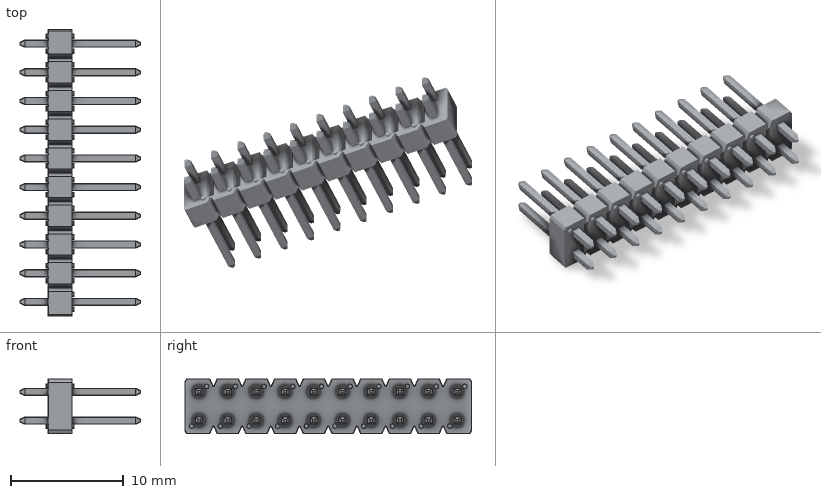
import cadquery as cq

ROWS = 10
PITCH = 2.55

BODY_LENGTH = ROWS * PITCH
BODY_HEIGHT = 4.83
BODY_THICKNESS = 2.13
NOTCH_WIDTH = 0.65
NOTCH_DEPTH = 0.65
NOTCH_FLOOR_WIDTH = 0.05
END_CHAMFER_Y = 0.15
END_CHAMFER_Z = 0.3

GROOVE_WIDTH = 0.7
GROOVE_HEIGHT = 3.3
GROOVE_FLOOR_WIDTH = 0.13
GROOVE_DEPTH = 0.45

PIN_LENGTH = 10.67
PIN_WIDTH = 0.64
PIN_END_WIDTH = 0.23
PIN_TIP_LENGTH = 0.43
PIN_TAIL = 2.5

STANDOFF_DIAMETER = 0.4
STANDOFF_HEIGHT = 0.18
STANDOFF_OFFSET_Y = 0.65
STANDOFF_OFFSET_Z = 1.75

BACK_X = -BODY_THICKNESS / 2
FRONT_X = BODY_THICKNESS / 2
ROW_CENTERS = [(i - (ROWS - 1) / 2) * PITCH for i in range(ROWS)]
ROW_BORDERS = [y + PITCH / 2 for y in ROW_CENTERS[:-1]]


def upper_outline():
    """Upper edge of the body from -Y to +Y, as (y, z) points."""
    end = BODY_LENGTH / 2
    top = BODY_HEIGHT / 2
    points = [(-end, top - END_CHAMFER_Z), (-end + END_CHAMFER_Y, top)]
    for y in ROW_BORDERS:
        points.append((y - NOTCH_WIDTH / 2, top))
        points.append((y - NOTCH_FLOOR_WIDTH / 2, top - NOTCH_DEPTH))
        points.append((y + NOTCH_FLOOR_WIDTH / 2, top - NOTCH_DEPTH))
        points.append((y + NOTCH_WIDTH / 2, top))
    points += [(end - END_CHAMFER_Y, top), (end, top - END_CHAMFER_Z)]
    return points


def make_body():
    upper = upper_outline()
    lower = [(y, -z) for y, z in reversed(upper)]
    profile = cq.Workplane("YZ", origin=(BACK_X, 0, 0)).polyline(upper + lower).close()
    return profile.extrude(BODY_THICKNESS)


def make_groove(y):
    """Cutter whose four walls slope inward from the -X face to a narrow floor."""
    wall_run = (GROOVE_WIDTH - GROOVE_FLOOR_WIDTH) / 2
    return (
        cq.Workplane("YZ", origin=(BACK_X, y, 0))
        .rect(GROOVE_WIDTH, GROOVE_HEIGHT)
        .workplane(offset=GROOVE_DEPTH)
        .rect(GROOVE_FLOOR_WIDTH, GROOVE_HEIGHT - 2 * wall_run)
        .loft(ruled=True)
    )


def make_tip(x, y, z, base_width, end_width):
    """Frustum of a pyramid running toward +X from the given x."""
    return (
        cq.Workplane("YZ", origin=(x, y, z))
        .rect(base_width, base_width)
        .workplane(offset=PIN_TIP_LENGTH)
        .rect(end_width, end_width)
        .loft(ruled=True)
    )


def make_pin(y, z):
    start = BACK_X - PIN_TAIL
    shank_start = start + PIN_TIP_LENGTH
    shank_length = PIN_LENGTH - 2 * PIN_TIP_LENGTH
    shank_plane = cq.Workplane("YZ", origin=(shank_start, y, z))
    shank = shank_plane.rect(PIN_WIDTH, PIN_WIDTH).extrude(shank_length)
    back_tip = make_tip(start, y, z, PIN_END_WIDTH, PIN_WIDTH)
    front_tip = make_tip(shank_start + shank_length, y, z, PIN_WIDTH, PIN_END_WIDTH)
    return shank.union(back_tip).union(front_tip)


def make_standoffs(face_x, height, rows):
    """Two standoffs per row on diagonally opposite corners: (+Y, +Z) and (-Y, -Z)."""
    centers = []
    for y in rows:
        for side in (1, -1):
            centers.append((y + side * STANDOFF_OFFSET_Y, side * STANDOFF_OFFSET_Z))
    return (
        cq.Workplane("YZ", origin=(face_x, 0, 0))
        .pushPoints(centers)
        .circle(STANDOFF_DIAMETER / 2)
        .extrude(height)
    )


result = make_body()
for border in ROW_BORDERS:
    result = result.cut(make_groove(border))

result = result.union(make_standoffs(BACK_X, -STANDOFF_HEIGHT, ROW_CENTERS[1:]))
result = result.union(make_standoffs(FRONT_X, STANDOFF_HEIGHT, ROW_CENTERS))

for row in ROW_CENTERS:
    for level in (-PITCH / 2, PITCH / 2):
        result = result.union(make_pin(row, level))